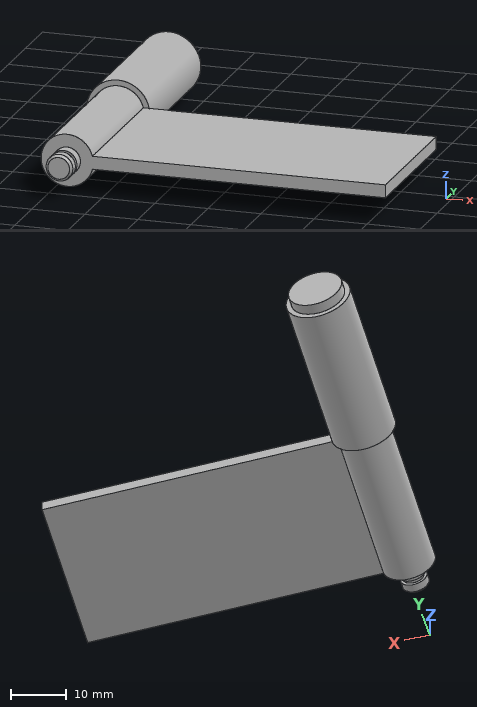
import cadquery as cq

TOTAL_LENGTH = 67.0
TOTAL_WIDTH = 66.0

KNUCKLE_LENGTH = 30.0
SLEEVE_DIAMETER = 12.0
BARREL_DIAMETER = 9.85

PLATE_THICKNESS = 2.5
PLATE_REACH = TOTAL_WIDTH - SLEEVE_DIAMETER / 2

PIN_DIAMETER = 5.0
HEAD_DIAMETER = 10.0
HEAD_LENGTH = 2.0
TIP_LENGTH = TOTAL_LENGTH - 2 * KNUCKLE_LENGTH - HEAD_LENGTH
TIP_CHAMFER = 0.5
GROOVE_DIAMETER = 3.9
GROOVE_OFFSET = 2.1
GROOVE_WIDTH = 0.9


def rod(diameter, start_y, end_y):
    """Solid cylinder on the hinge axis between two Y positions."""
    plane = cq.Workplane("XZ", origin=(0, start_y, 0))
    return plane.circle(diameter / 2).extrude(start_y - end_y)


def make_sleeve():
    """Plain knuckle bored for the pin."""
    bore = rod(PIN_DIAMETER, 0, KNUCKLE_LENGTH)
    return rod(SLEEVE_DIAMETER, 0, KNUCKLE_LENGTH).cut(bore)


def make_leaf():
    """Flat plate joined to a barrel that is bored for the pin."""
    plate = cq.Workplane("XY").box(
        PLATE_REACH, KNUCKLE_LENGTH, PLATE_THICKNESS, centered=(False, False, True)
    ).translate((0, -KNUCKLE_LENGTH, 0))
    barrel = rod(BARREL_DIAMETER, -KNUCKLE_LENGTH, 0)
    bore = rod(PIN_DIAMETER, -KNUCKLE_LENGTH, 0)
    return barrel.union(plate).cut(bore)


def make_pin():
    """Headed pin with a chamfered tip and a retaining groove."""
    leaf_face = -KNUCKLE_LENGTH
    shank = rod(PIN_DIAMETER, leaf_face - TIP_LENGTH, KNUCKLE_LENGTH)
    shank = shank.faces("<Y").chamfer(TIP_CHAMFER)
    head = rod(HEAD_DIAMETER, KNUCKLE_LENGTH, KNUCKLE_LENGTH + HEAD_LENGTH)

    groove_end = leaf_face - GROOVE_OFFSET
    groove_start = groove_end - GROOVE_WIDTH
    groove_core = rod(GROOVE_DIAMETER, groove_start, groove_end)
    groove = rod(PIN_DIAMETER, groove_start, groove_end).cut(groove_core)
    return shank.union(head).cut(groove)


sleeve = make_sleeve()
leaf = make_leaf()
pin = make_pin()

result = cq.Compound.makeCompound([body.solids().val() for body in (sleeve, leaf, pin)])